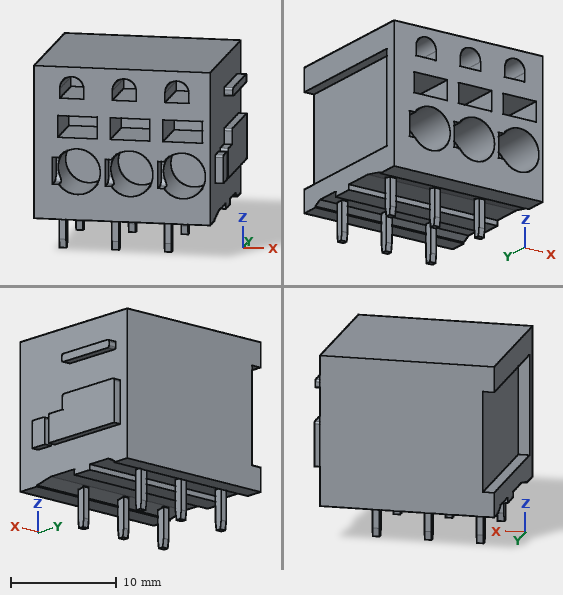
import cadquery as cq

pole_count = 3
pole_pitch = 5.09
block_width = 17.04
block_depth = 15.2
block_height = 14.82

recess_depth = 1.1
recess_front = 1.25
recess_bottom = 2.43
recess_top = 12.32

relief_height = 0.55
relief_step = 0.13
relief_front = 2.36
relief_front_top = 4.43
foot_front = 7.65
foot_rear = 9.92
relief_rear_top = 12.52
relief_rear = 13.34

opening_depth = 5.49
entry_x = 4.2
entry_z = 4.7
entry_radius = 2.21
window_width = 3.8
window_bottom = 7.96
window_top = 10.06
test_x = 3.66
test_bottom = 11.77
test_top = 13.89
test_radius = 1.15

slot_height = 2.6
slot_depth = 1.83
slot_corner_radius = 0.65

tab_reach = 0.79
bar_reach = 0.86
tab_radius = 0.2
tab_bottom = 3.59
bar_front = 6.88
bar_rear = 13.58
bar_bottom = 11.15
bar_top = 11.95
stepped_tab_front = 4.9
stepped_tab_rear = 14.22
stepped_tab_low_top = 6.48
stepped_tab_top = 8.0
front_tab_front = 2.56
front_tab_rear = 4.4
front_tab_top = 6.31

pin_x = 2.12
pin_thickness = 0.65
pin_width = 0.82
pin_tip_width = 0.57
pin_taper = 0.88
pin_drop = 3.48
pin_front_y = 3.71
pin_row_spacing = 8.18

pole_offsets = [pole * pole_pitch for pole in range(pole_count)]
pin_rows = [pin_front_y, pin_front_y + pin_row_spacing]


def box(x_range, y_range, z_range):
    """Axis-aligned box between pairs of limits."""
    size = [high - low for low, high in (x_range, y_range, z_range)]
    corner = (x_range[0], y_range[0], z_range[0])
    return cq.Workplane("XY").box(*size, centered=False).translate(corner)


def make_block():
    """Block with its stepped underside, recessed on the -X side."""
    side_outline = [
        (0, 0),
        (relief_front, 0),
        (relief_front, relief_step),
        (relief_front_top, relief_height),
        (foot_front, relief_height),
        (foot_front, 0),
        (foot_rear, 0),
        (foot_rear, relief_height),
        (relief_rear_top, relief_height),
        (relief_rear, relief_step),
        (relief_rear, 0),
        (block_depth, 0),
        (block_depth, block_height),
        (0, block_height),
    ]
    block = cq.Workplane("YZ").polyline(side_outline).close().extrude(block_width)
    recess = box((0, recess_depth), (recess_front, block_depth), (recess_bottom, recess_top))
    return block.cut(recess)


def make_wire_entry():
    """Round wire entry with the shallower slot along its -X edge."""
    entry = (
        cq.Workplane("XZ").center(entry_x, entry_z).circle(entry_radius).extrude(-opening_depth)
    )
    slot = box(
        (pin_x - pin_thickness / 2, pin_x + pin_thickness / 2),
        (0, slot_depth),
        (entry_z - slot_height / 2, entry_z + slot_height / 2),
    )
    return entry.union(slot.edges("|X and >Y").fillet(slot_corner_radius))


def make_window():
    """Rectangular opening above the wire entry."""
    half_width = window_width / 2
    return box(
        (entry_x - half_width, entry_x + half_width),
        (0, opening_depth),
        (window_bottom, window_top),
    )


def make_test_opening():
    """Opening with a flat floor and a semicircular roof."""
    shoulder = test_top - test_radius
    return (
        cq.Workplane("XZ")
        .moveTo(test_x - test_radius, test_bottom)
        .lineTo(test_x + test_radius, test_bottom)
        .lineTo(test_x + test_radius, shoulder)
        .threePointArc((test_x, test_top), (test_x - test_radius, shoulder))
        .close()
        .extrude(-opening_depth)
    )


def make_tabs():
    """Raised shapes on the +X side: a rounded bar, a stepped tab and a plain front tab."""
    bar = box(
        (block_width, block_width + bar_reach), (bar_front, bar_rear), (bar_bottom, bar_top)
    ).edges("|X").fillet(tab_radius)

    tab_x = (block_width, block_width + tab_reach)
    low_part = box(tab_x, (stepped_tab_front, stepped_tab_rear), (tab_bottom, stepped_tab_low_top))
    low_part = low_part.edges("|X and >Z and <Y").fillet(tab_radius)
    high_part = box(tab_x, (bar_front, stepped_tab_rear), (tab_bottom, stepped_tab_top))
    high_part = high_part.edges("|X and >Z").fillet(tab_radius)
    front_tab = box(tab_x, (front_tab_front, front_tab_rear), (tab_bottom, front_tab_top))
    front_tab = front_tab.edges("|X and >Z").fillet(tab_radius)
    return [bar, low_part, high_part, front_tab]


def make_pin(x, y):
    """Flat solder pin with a tapered tip, reaching up to the relief ceiling."""
    half_width = pin_width / 2
    half_tip = pin_tip_width / 2
    taper_top = pin_taper - pin_drop
    outline = [
        (-half_tip, -pin_drop),
        (half_tip, -pin_drop),
        (half_width, taper_top),
        (half_width, relief_height),
        (-half_width, relief_height),
        (-half_width, taper_top),
    ]
    pin = cq.Workplane("YZ").polyline(outline).close().extrude(pin_thickness / 2, both=True)
    return pin.translate((x, y, 0))


pins = [make_pin(pin_x + offset, row) for offset in pole_offsets for row in pin_rows]

housing = make_block()
for tab in make_tabs():
    housing = housing.union(tab)
for offset in pole_offsets:
    for opening in (make_wire_entry(), make_window(), make_test_opening()):
        housing = housing.cut(opening.translate((offset, 0, 0)))

for pin in pins:
    housing = housing.cut(pin)

result = cq.Compound.makeCompound([housing.solids().val(), *[pin.val() for pin in pins]])